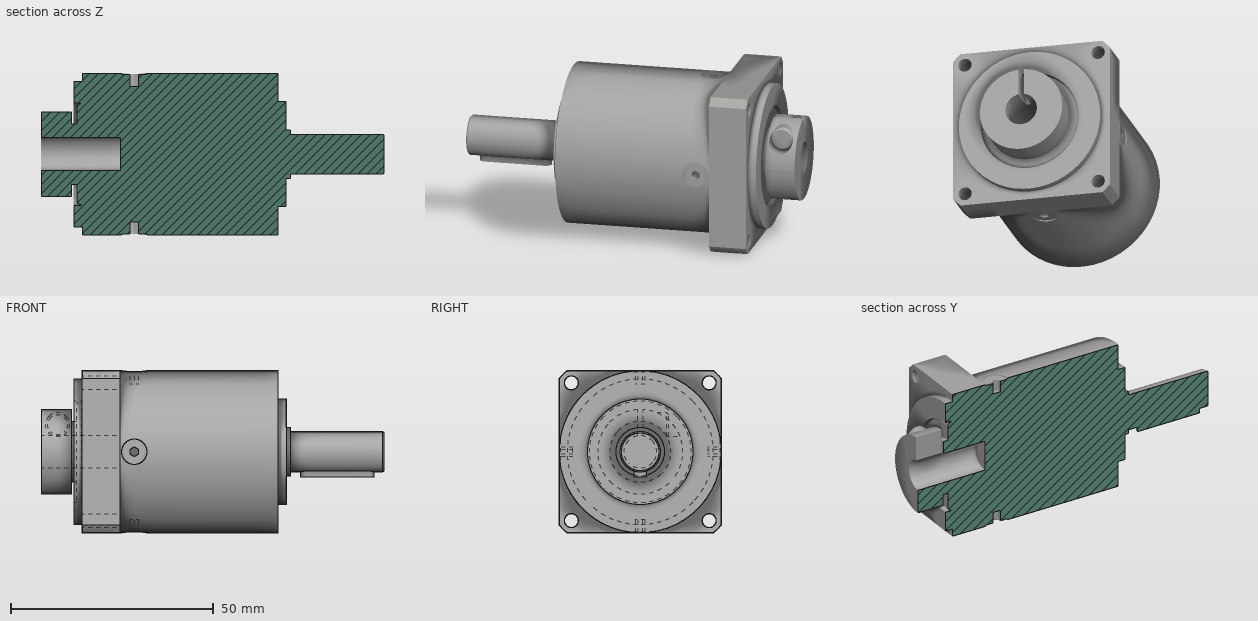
import cadquery as cq
collar_end = 7.4
pilot_start = 8.0
flange_start = 10.05
flange_end = 19.4
body_end = 58.4
boss_end = 60.4
shoulder_end = 61.4
overall_length = 84.5

collar_diameter = 20.95
neck_diameter = 15.0
pilot_diameter = 36.0
body_diameter = 40.0
boss_diameter = 26.0
shoulder_diameter = 12.0
shaft_diameter = 10.0
shaft_chamfer = 0.3

flange_width = body_diameter
flange_corner_diameter = 53.9
mount_hole_diameter = 3.4
mount_hole_spacing = 34.0

recess_diameter = 25.1
hub_face_diameter = 22.8
hub_setback = 0.7

bore_diameter = 8.0
bore_depth = 19.4
slot_width = 1.35

screw_diameter = 5.9
screw_x = 4.0
screw_z = 6.7
screw_head_face = 7.0
screw_head_chamfer = 0.5
screw_head_length = 3.8

plug_x = 22.9
plug_diameter = 6.25
plug_face_radius = 19.7
plug_count = 4
hex_flats = 2.0
hex_depth = 2.95

key_start = 63.9
key_length = 18.2
key_width = 3.0
key_height = 3.0
key_top_radius = 6.25


def disc(start, end, diameter):
    """Cylinder on the X axis between two X positions."""
    return cq.Workplane("YZ").workplane(offset=start).circle(diameter / 2).extrude(end - start)


def make_turned_body():
    shaft = disc(shoulder_end, overall_length, shaft_diameter).faces(">X").chamfer(shaft_chamfer)
    return (
        disc(pilot_start, flange_start, pilot_diameter)
        .union(disc(flange_start, body_end, body_diameter))
        .union(disc(body_end, boss_end, boss_diameter))
        .union(disc(boss_end, shoulder_end, shoulder_diameter))
        .union(shaft)
    )


def make_flange():
    thickness = flange_end - flange_start
    return (
        cq.Workplane("YZ")
        .workplane(offset=flange_start)
        .rect(flange_width, flange_width)
        .extrude(thickness)
        .intersect(disc(flange_start, flange_end, flange_corner_diameter))
        .faces("<X")
        .workplane(origin=(flange_start, 0, 0))
        .rect(mount_hole_spacing, mount_hole_spacing, forConstruction=True)
        .vertices()
        .hole(mount_hole_diameter)
    )


def make_hub_recess():
    """Recess in the pilot face, less the round-edged hub that stands in it."""
    hub_edge_radius = (recess_diameter - hub_face_diameter) / 2
    hub_face = pilot_start + hub_setback
    recess_end = hub_face + hub_edge_radius
    hub = disc(hub_face, flange_end, recess_diameter).faces("<X").edges().fillet(hub_edge_radius)
    return disc(pilot_start, recess_end, recess_diameter).cut(hub)


def screw_cylinder(start, end):
    """Cylinder on the clamp screw axis between two Y positions."""
    return (
        cq.Workplane("XZ", origin=(screw_x, start, screw_z))
        .circle(screw_diameter / 2)
        .extrude(start - end)
    )


def make_clamp_collar():
    slot = cq.Workplane("XY").box(
        collar_end, slot_width, collar_diameter, centered=(False, True, False)
    )
    head_start = screw_head_face - screw_head_length
    head = screw_cylinder(head_start, screw_head_face).faces(">Y").chamfer(screw_head_chamfer)
    return (
        disc(0, collar_end, collar_diameter)
        .cut(slot)
        .cut(screw_cylinder(head_start, collar_diameter))
        .union(head)
    )


def make_plug_cut():
    """Flat spot and hexagon socket of the plug on the +Z side."""
    spot = (
        cq.Workplane("XY", origin=(plug_x, 0, plug_face_radius))
        .circle(plug_diameter / 2)
        .extrude(body_diameter / 2)
    )
    hexagon = (
        cq.Workplane("XY", origin=(plug_x, 0, plug_face_radius - hex_depth))
        .polygon(6, hex_flats, circumscribed=True)
        .extrude(hex_depth)
    )
    return spot.union(hexagon)


def make_key():
    return (
        cq.Workplane("XY", origin=(key_start + key_length / 2, 0, -key_top_radius))
        .slot2D(key_length, key_width)
        .extrude(key_height)
    )


result = make_turned_body().union(make_flange()).cut(make_hub_recess())
result = result.union(disc(collar_end, pilot_start + hub_setback, neck_diameter))
result = result.union(make_clamp_collar()).cut(disc(0, bore_depth, bore_diameter))

plug_cut = make_plug_cut()
for index in range(plug_count):
    angle = index * 360 / plug_count
    result = result.cut(plug_cut.rotate((0, 0, 0), (1, 0, 0), angle))

result = result.union(make_key())